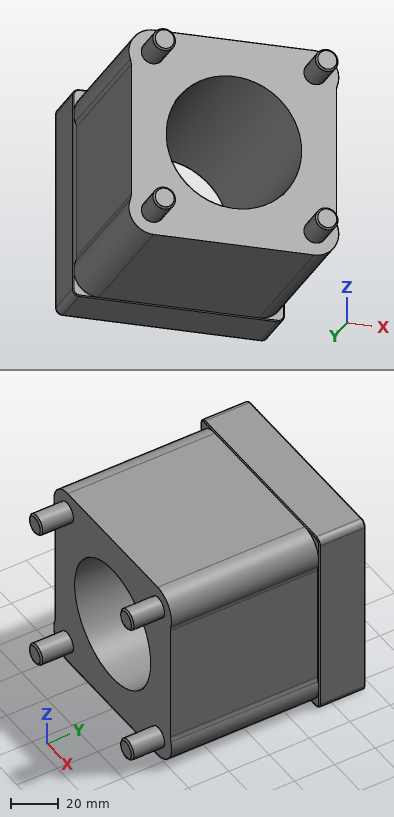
import cadquery as cq
import math

flange_width = 94.0
flange_depth = 23.0
flange_corner_radius = 3.0
flange_edge_chamfer = 0.5

body_width = 93.0
body_depth = 73.0
corner_radius = 11.0
side_recess = 1.0
recess_blend_diameter = 14.0
recess_blend_radius = recess_blend_diameter / 2

bore_diameter = 60.0

pin_diameter = 10.0
pin_length = 16.0
pin_spacing = 72.0
pin_chamfer = 0.8



def extrude_back(sketch, start_y, depth):
    """Extrude an XZ sketch toward +Y, starting at start_y."""
    return sketch.extrude(-depth).translate((0, start_y, 0))


def make_flange():
    plate = extrude_back(cq.Workplane("XZ").rect(flange_width, flange_width), body_depth, flange_depth)
    plate = plate.edges("|Y").fillet(flange_corner_radius)
    return plate.faces("<Y or >Y").edges().chamfer(flange_edge_chamfer)


def make_body():
    half_width = body_width / 2
    corner_center = half_width - corner_radius
    recess_x = half_width - side_recess

    radius_sum = corner_radius + recess_blend_radius
    blend_angle = math.acos(1 - side_recess / radius_sum)
    blend_center_x = recess_x + recess_blend_radius
    blend_center_z = corner_center - radius_sum * math.sin(blend_angle)

    def corner_point(angle):
        return (
            corner_center + corner_radius * math.cos(angle),
            corner_center + corner_radius * math.sin(angle),
        )

    def blend_point(angle):
        return (
            blend_center_x - recess_blend_radius * math.cos(angle),
            blend_center_z + recess_blend_radius * math.sin(angle),
        )

    quarter = (
        cq.Workplane("XZ")
        .lineTo(recess_x, 0)
        .lineTo(*blend_point(0))
        .threePointArc(blend_point(blend_angle / 2), corner_point(-blend_angle))
        .threePointArc(corner_point(math.pi / 4), corner_point(math.pi / 2))
        .lineTo(0, half_width)
        .close()
    )
    quarter = extrude_back(quarter, 0, body_depth)
    half = quarter.union(quarter.mirror("YZ"))
    return half.union(half.mirror("XY")).clean()


def make_pins():
    pins = (
        cq.Workplane("XZ")
        .rect(pin_spacing, pin_spacing, forConstruction=True)
        .vertices()
        .circle(pin_diameter / 2)
        .extrude(pin_length)
    )
    return pins.faces("<Y").edges().chamfer(pin_chamfer)


bore = extrude_back(cq.Workplane("XZ").circle(bore_diameter / 2), 0, body_depth + flange_depth)

result = make_body().union(make_flange()).union(make_pins()).cut(bore)